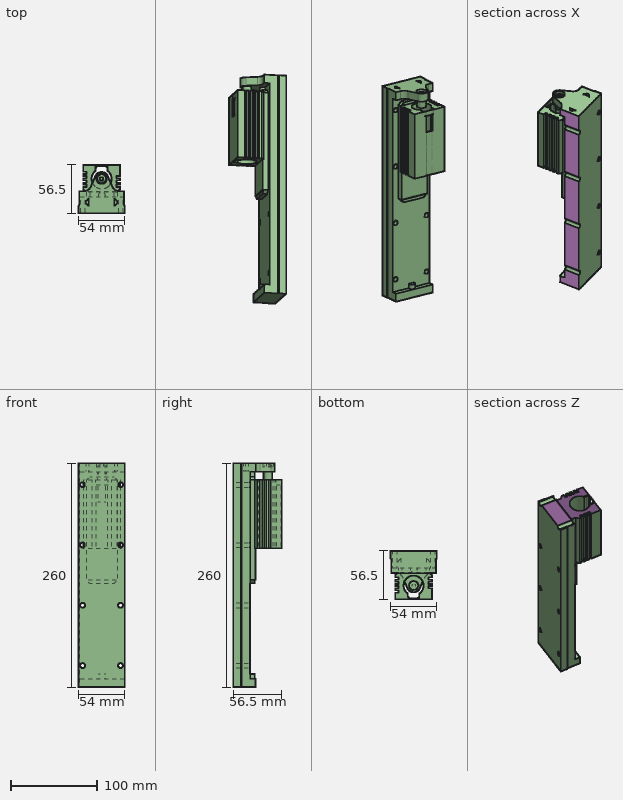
import cadquery as cq
import math

BASE_LENGTH = 260.0
BASE_WIDTH = 54.0
BASE_UPPER_WIDTH = 52.4
RAMP_START = 8.5
RAMP_END = 9.9
RAIL_TOP = 19.5
END_TOP = 26.0
END_THICKNESS = 10.0

MOUNT_HOLE_DIA = 5.5
MOUNT_HOLE_SPACING = 44.0
MOUNT_HOLE_PITCH = 70.0
MOUNT_HOLE_COUNT = 4
MOUNT_HOLE_FIRST_Z = 25.0

POCKET_INNER_X = 15.0
POCKET_WIDTH = 3.2
POCKET_HALF_HEIGHT = 4.3
POCKET_CENTRE_Y = 13.0
POCKET_DEPTH = 9.0

BUMPER_DIA = 8.0
BUMPER_LENGTH = 5.5
BUMPER_CENTRE_Y = 21.0

AXIS_Y = 40.25
TIP_RADIUS = 8.0
BLEND_RADIUS = 8.0
BLEND_CENTRE_X = 20.0
COUNTERBORE_DIA = 12.0
COUNTERBORE_DEPTH = 4.3
HEAD_DIA = 10.5
HEAD_HEIGHT = 3.3
SOCKET_DIA = 4.13
SOCKET_DEPTH = 2.0
STUD_DIA = 10.5

PLATE_LENGTH = 124.0
PLATE_END_TAPER = 4.0
PLATE_TOP_DROP = 1.0
PLATE_TOP_Z = BASE_LENGTH - END_THICKNESS - BUMPER_LENGTH
PLATE_CENTRE_Z = PLATE_TOP_Z - PLATE_LENGTH / 2

BLOCK_WIDTH = 43.0
BLOCK_TOP = 56.5
BLOCK_BOTTOM = 24.8
BLOCK_BEVEL_WIDTH = 3.5
BLOCK_BEVEL_HEIGHT = 3.3
BLOCK_LENGTH = 80.0
BLOCK_BOTTOM_Z = 161.0
BLOCK_TOP_Z = BLOCK_BOTTOM_Z + BLOCK_LENGTH
PLATE_WIDTH = BLOCK_WIDTH - 2 * BLOCK_BEVEL_WIDTH

FIN_SLOT_DEPTH = 4.0
FIN_SLOT_WIDTH = 2.5
FIN_SLOT_PITCH = 5.0
FIN_SLOT_FIRST_Y = 32.2
FIN_SLOTS_LEFT = 4
FIN_SLOTS_RIGHT = 3

BORE_DIA = 23.0
CHANNEL_WIDTH = 13.0
CHANNEL_TOP = 55.0
CHANNEL_CORNER_RADIUS = 2.5
WINDOW_WIDTH = 9.0
WINDOW_HEIGHT = 20.0
RECESS_STEP = 0.8
RECESS_DEPTH = 6.0


def box(x_range, y_range, z_range):
    """Axis-aligned box between the given limits."""
    (x0, x1), (y0, y1), (z0, z1) = x_range, y_range, z_range
    return cq.Workplane("XY").box(x1 - x0, y1 - y0, z1 - z0, centered=False).translate((x0, y0, z0))


def centred(width):
    return (-width / 2, width / 2)


def base_rail():
    """Long rail whose sides step in along a short ramp."""
    half, upper_half = BASE_WIDTH / 2, BASE_UPPER_WIDTH / 2
    outline = [
        (-half, 0), (half, 0), (half, RAMP_START), (upper_half, RAMP_END), (upper_half, RAIL_TOP),
        (-upper_half, RAIL_TOP), (-upper_half, RAMP_END), (-half, RAMP_START),
    ]
    return cq.Workplane("XY").polyline(outline).close().extrude(BASE_LENGTH)


def bracket_arm():
    """Rounded arm carrying the stud: a tip arc, straight flanks and concave blends into the end block."""
    blend_y = END_TOP + BLEND_RADIUS
    centre_distance = math.hypot(BLEND_CENTRE_X, AXIS_Y - blend_y)
    centre_slope = math.atan2(AXIS_Y - blend_y, BLEND_CENTRE_X)
    angle = math.acos((TIP_RADIUS + BLEND_RADIUS) / centre_distance) - centre_slope

    def tip_point(a):
        return TIP_RADIUS * math.cos(a), AXIS_Y + TIP_RADIUS * math.sin(a)

    def blend_point(a):
        return BLEND_CENTRE_X - BLEND_RADIUS * math.cos(a), blend_y - BLEND_RADIUS * math.sin(a)

    def mirrored(point):
        return -point[0], point[1]

    tip = tip_point(angle)
    blend_start = blend_point(angle)
    blend_middle = blend_point((angle + math.pi / 2) / 2)
    blend_end = blend_point(math.pi / 2)
    return (
        cq.Workplane("XY", origin=(0, 0, BASE_LENGTH - END_THICKNESS))
        .moveTo(*mirrored(blend_end))
        .threePointArc(mirrored(blend_middle), mirrored(blend_start))
        .lineTo(*mirrored(tip))
        .threePointArc(tip_point(math.pi / 2), tip)
        .lineTo(*blend_start)
        .threePointArc(blend_middle, blend_end)
        .lineTo(BLEND_CENTRE_X, RAIL_TOP)
        .lineTo(-BLEND_CENTRE_X, RAIL_TOP)
        .close()
        .extrude(END_THICKNESS)
    )


def stud_and_screw_head():
    """Stud under the bracket and the domed socket screw head in its counterbore."""
    floor_z = BASE_LENGTH - COUNTERBORE_DEPTH
    head_top_z = floor_z + HEAD_HEIGHT
    head_radius = HEAD_DIA / 2
    dome_radius = (head_radius**2 + HEAD_HEIGHT**2) / (2 * HEAD_HEIGHT)
    dome_centre_z = head_top_z - dome_radius
    half_angle = math.asin(head_radius / dome_radius) / 2
    dome_middle = (dome_radius * math.sin(half_angle), dome_centre_z + dome_radius * math.cos(half_angle))
    head = (
        cq.Workplane("XZ")
        .moveTo(0, floor_z)
        .lineTo(head_radius, floor_z)
        .threePointArc(dome_middle, (0, head_top_z))
        .close()
        .revolve(360, (0, 0, 0), (0, 1, 0))
    )
    socket_floor = cq.Workplane("XY", origin=(0, 0, head_top_z - SOCKET_DEPTH))
    socket = socket_floor.circle(SOCKET_DIA / 2).extrude(SOCKET_DEPTH)
    stud_length = BASE_LENGTH - END_THICKNESS - BLOCK_TOP_Z
    stud = cq.Workplane("XY", origin=(0, 0, BLOCK_TOP_Z)).circle(STUD_DIA / 2).extrude(stud_length)
    return head.cut(socket).union(stud).translate((0, AXIS_Y, 0))


def bumper(start_z):
    return (
        cq.Workplane("XY", origin=(0, BUMPER_CENTRE_Y, start_z))
        .circle(BUMPER_DIA / 2)
        .extrude(BUMPER_LENGTH)
    )


def end_pocket(side):
    """Trapezoidal pocket in the upper end face, narrowing outwards; side is -1 or 1."""
    inner_x = side * POCKET_INNER_X
    outer_x = side * (POCKET_INNER_X + POCKET_WIDTH)
    outer_half = POCKET_HALF_HEIGHT - POCKET_WIDTH
    outline = [
        (inner_x, POCKET_CENTRE_Y - POCKET_HALF_HEIGHT), (outer_x, POCKET_CENTRE_Y - outer_half),
        (outer_x, POCKET_CENTRE_Y + outer_half), (inner_x, POCKET_CENTRE_Y + POCKET_HALF_HEIGHT),
    ]
    floor = cq.Workplane("XY", origin=(0, 0, BASE_LENGTH - POCKET_DEPTH))
    return floor.polyline(outline).close().extrude(POCKET_DEPTH)


def build_base():
    upper_end_z = BASE_LENGTH - END_THICKNESS
    base = base_rail()
    for start_z in (0, upper_end_z):
        block = box(centred(BASE_UPPER_WIDTH), (RAMP_END, END_TOP), (start_z, start_z + END_THICKNESS))
        base = base.union(block)
    base = base.union(bracket_arm())
    for start_z in (END_THICKNESS, upper_end_z - BUMPER_LENGTH):
        base = base.union(bumper(start_z))

    counterbore = (
        cq.Workplane("XY", origin=(0, AXIS_Y, BASE_LENGTH - COUNTERBORE_DEPTH))
        .circle(COUNTERBORE_DIA / 2)
        .extrude(COUNTERBORE_DEPTH)
    )
    base = base.cut(counterbore).union(stud_and_screw_head())

    for side in (-1, 1):
        base = base.cut(end_pocket(side))
        for index in range(MOUNT_HOLE_COUNT):
            hole_z = MOUNT_HOLE_FIRST_Z + index * MOUNT_HOLE_PITCH
            hole = (
                cq.Workplane("XZ", origin=(side * MOUNT_HOLE_SPACING / 2, 0, hole_z))
                .circle(MOUNT_HOLE_DIA / 2)
                .extrude(-RAIL_TOP)
            )
            base = base.cut(hole)
    return base


def carriage_plate():
    """Plate running on the rail, with both ends tapered in X and slightly in Y."""
    height = END_TOP - RAIL_TOP
    straight = PLATE_LENGTH / 2 - PLATE_END_TAPER
    end_width = PLATE_WIDTH - 2 * PLATE_END_TAPER
    plate = box(centred(PLATE_WIDTH), (RAIL_TOP, END_TOP), (-straight, straight))
    upper_end = (
        cq.Workplane("XY", origin=(0, 0, straight))
        .center(0, RAIL_TOP + (height - PLATE_TOP_DROP) / 2)
        .rect(PLATE_WIDTH, height - PLATE_TOP_DROP)
        .workplane(offset=PLATE_END_TAPER)
        .rect(end_width, height - PLATE_TOP_DROP)
        .loft(ruled=True)
    )
    plate = plate.union(upper_end).union(upper_end.mirror("XY"))
    return plate.translate((0, 0, PLATE_CENTRE_Z))


def fin_slot(side, index):
    middle_y = FIN_SLOT_FIRST_Y + index * FIN_SLOT_PITCH
    outer_x = side * BLOCK_WIDTH / 2
    inner_x = outer_x - side * FIN_SLOT_DEPTH
    y_range = (middle_y - FIN_SLOT_WIDTH / 2, middle_y + FIN_SLOT_WIDTH / 2)
    return box(sorted((inner_x, outer_x)), y_range, (BLOCK_BOTTOM_Z, BLOCK_TOP_Z))


def cable_channel(width, top, bottom_z):
    """Round-cornered channel from the bore axis outwards, open at the upper face."""
    channel = box(centred(width), (AXIS_Y, top), (bottom_z, BLOCK_TOP_Z))
    return channel.edges("|Z and >Y").fillet(CHANNEL_CORNER_RADIUS)


def finned_block():
    """Cooling block with side fins, a bore for the drive and a cable channel opening at the back."""
    half, foot_half = BLOCK_WIDTH / 2, PLATE_WIDTH / 2
    bevel_top = BLOCK_BOTTOM + BLOCK_BEVEL_HEIGHT
    outline = [
        (-foot_half, BLOCK_BOTTOM), (foot_half, BLOCK_BOTTOM), (half, bevel_top), (half, BLOCK_TOP),
        (-half, BLOCK_TOP), (-half, bevel_top),
    ]
    start_face = cq.Workplane("XY", origin=(0, 0, BLOCK_BOTTOM_Z))
    block = start_face.polyline(outline).close().extrude(BLOCK_LENGTH)
    for side, count in ((-1, FIN_SLOTS_LEFT), (1, FIN_SLOTS_RIGHT)):
        for index in range(count):
            block = block.cut(fin_slot(side, index))
    bore = (
        cq.Workplane("XY", origin=(0, AXIS_Y, BLOCK_BOTTOM_Z))
        .circle(BORE_DIA / 2)
        .extrude(BLOCK_LENGTH)
    )
    window_top_z = BLOCK_TOP_Z - RECESS_DEPTH
    channel = cable_channel(CHANNEL_WIDTH, CHANNEL_TOP, BLOCK_BOTTOM_Z)
    recess = cable_channel(CHANNEL_WIDTH + 2 * RECESS_STEP, CHANNEL_TOP + RECESS_STEP, window_top_z)
    window = box(centred(WINDOW_WIDTH), (AXIS_Y, BLOCK_TOP), (window_top_z - WINDOW_HEIGHT, window_top_z))
    return block.cut(bore).cut(channel).cut(recess).cut(window)


def build_carriage():
    return carriage_plate().union(finned_block())


base = build_base()
carriage = build_carriage()
result = cq.Compound.makeCompound([base.val(), carriage.val()])